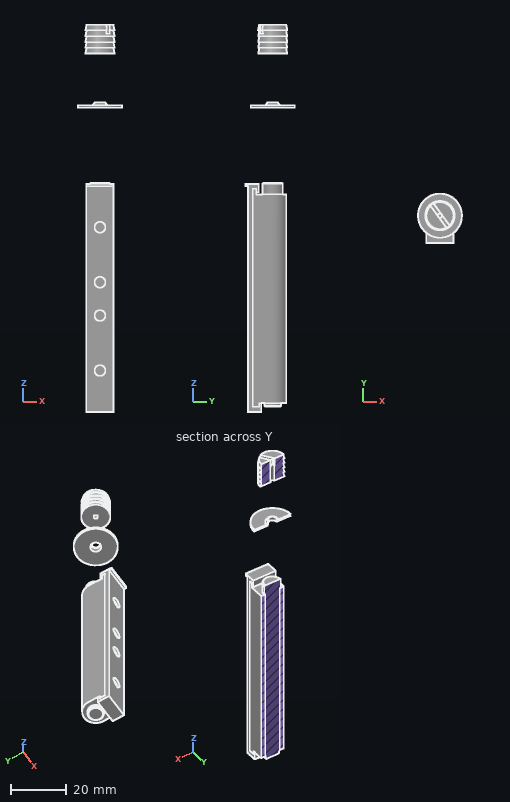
import cadquery as cq

rail_width = 10.0
rail_radius = rail_width / 2
joint_y = -7.2
assembly_top = 140.8

housing_bottom = 3.2
housing_top = 79.1
tongue_bottom = 2.0
tongue_top = 81.2
tongue_bottom_y = -4.9
tongue_top_y = -5.9

cover_front_y = -9.0
cover_top = 82.9
lip_front_y = -10.0
lip_thickness = 0.8
top_hook_y = -5.0
top_hook_bottom = 79.8
bottom_hook_y = -4.1
recess_diameter = 4.0
recess_depth = 1.0
recess_heights = (15.0, 35.0, 47.2, 67.1)

shank_diameter = 6.0
shank_bottom = 1.8
shank_chamfer = 0.4
head_diameter = 7.5
head_top = 83.3
head_chamfer = 0.4

disc_diameter = 16.0
disc_bottom = 110.5
disc_thickness = 1.0
boss_base_diameter = 5.3
boss_top_diameter = 3.7
boss_height = 1.1
disc_bore_top = 3.0
disc_bore_bottom = 4.0

ring_count = 5
ring_pitch = 2.1
ring_top_diameter = 9.9
ring_bottom_diameter = 10.7
screw_bore = 1.5
slot_width = 1.4
slot_depth = 3.2
slot_angle = -54.0


def extrude_side_profile(points):
    """Extrude a (Y, Z) outline across the rail width, centred on X = 0."""
    return cq.Workplane("YZ").polyline(points).close().extrude(rail_width / 2, both=True)


def cylinder(diameter, bottom, top):
    return cq.Workplane("XY", origin=(0, 0, bottom)).circle(diameter / 2).extrude(top - bottom)


def cone(bottom_diameter, top_diameter, bottom, height):
    """Frustum standing on the Z axis."""
    top = bottom + height
    profile = [(0, bottom), (bottom_diameter / 2, bottom), (top_diameter / 2, top), (0, top)]
    return cq.Workplane("XZ").polyline(profile).close().revolve(360, (0, 0, 0), (0, 1, 0))


def make_housing():
    """Rail with a rounded back, a flat tongue along its front and a bore for the rod."""
    rail = (
        cq.Workplane("XY", origin=(0, 0, housing_bottom))
        .moveTo(-rail_radius, joint_y)
        .lineTo(-rail_radius, 0)
        .threePointArc((0, rail_radius), (rail_radius, 0))
        .lineTo(rail_radius, joint_y)
        .close()
        .extrude(housing_top - housing_bottom)
    )
    middle = (housing_bottom + housing_top) / 2
    tongue = extrude_side_profile([
        (joint_y, tongue_bottom),
        (tongue_bottom_y, tongue_bottom),
        (tongue_bottom_y, middle),
        (tongue_top_y, middle),
        (tongue_top_y, tongue_top),
        (joint_y, tongue_top),
    ])
    bore = cylinder(shank_diameter, housing_bottom, housing_top)
    return rail.union(tongue).cut(bore)


def make_cover():
    """Strip hooked over both ends of the housing tongue, with four shallow round recesses in its face."""
    cover = extrude_side_profile([
        (cover_front_y, 0),
        (bottom_hook_y, 0),
        (bottom_hook_y, housing_bottom),
        (tongue_bottom_y, housing_bottom),
        (tongue_bottom_y, tongue_bottom),
        (joint_y, tongue_bottom),
        (joint_y, tongue_top),
        (tongue_top_y, tongue_top),
        (tongue_top_y, top_hook_bottom),
        (top_hook_y, top_hook_bottom),
        (top_hook_y, cover_top),
        (lip_front_y, cover_top),
        (lip_front_y, cover_top - lip_thickness),
        (cover_front_y, cover_top - lip_thickness),
    ])
    for height in recess_heights:
        recess = (
            cq.Workplane("XZ", origin=(0, cover_front_y, height))
            .circle(recess_diameter / 2)
            .extrude(-recess_depth)
        )
        cover = cover.cut(recess)
    return cover


def make_rod():
    """Shank through the housing with a wider head seated on its top face."""
    shank = cylinder(shank_diameter, shank_bottom, housing_top).faces("<Z").chamfer(shank_chamfer)
    head = cylinder(head_diameter, housing_top, head_top).faces(">Z").chamfer(head_chamfer)
    return shank.union(head)


def make_disc():
    """Flat disc with a tapered central boss and a bore that widens downwards."""
    disc_top = disc_bottom + disc_thickness
    plate = cylinder(disc_diameter, disc_bottom, disc_top)
    boss = cone(boss_base_diameter, boss_top_diameter, disc_top, boss_height)
    bore = cone(disc_bore_bottom, disc_bore_top, disc_bottom, disc_thickness + boss_height)
    return plate.union(boss).cut(bore)


def make_screw():
    """Stack of conical thread rings with a bore and a driver slot."""
    screw_bottom = assembly_top - ring_count * ring_pitch
    screw = cone(ring_bottom_diameter, ring_top_diameter, screw_bottom, ring_pitch)
    for index in range(1, ring_count):
        ring_bottom = screw_bottom + index * ring_pitch
        screw = screw.union(cone(ring_bottom_diameter, ring_top_diameter, ring_bottom, ring_pitch))
    slot = (
        cq.Workplane("XY", origin=(0, 0, assembly_top - slot_depth))
        .transformed(rotate=(0, 0, slot_angle))
        .rect(2 * ring_bottom_diameter, slot_width)
        .extrude(slot_depth)
    )
    return screw.cut(slot).cut(cylinder(screw_bore, screw_bottom, assembly_top))


housing = make_housing()
cover = make_cover()
rod = make_rod()
disc = make_disc()
screw = make_screw()

result = cq.Compound.makeCompound([housing.val(), cover.val(), rod.val(), disc.val(), screw.val()])